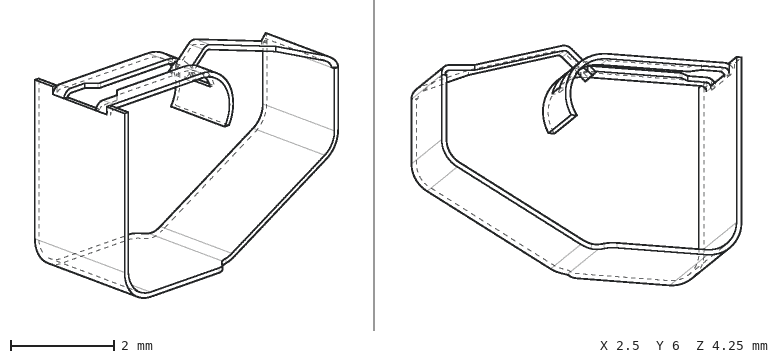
import cadquery as cq
import math

thickness = 0.1
overlap = 0.06
plate_width = 2.5
back_width = 2.0
clip_width = 1.5
slot_width = 0.5
arm_width = 0.41
tip_width = 0.485

depth = 6.0
front_height = 4.0
floor_bend_radius = 0.7
ramp_start = 3.03
ramp_angle = math.radians(28.6)
ramp_bend_radius = 0.7
ramp_corner_z = (depth - ramp_start) * math.tan(ramp_angle)
back_bend_radius = 0.6
plate_step_y = 2.53

arm_peak_y = 3.265
arm_peak_z = 4.25
arm_angle = math.radians(16.3)
tip_angle = math.radians(42)
arm_bend_radius = 0.25
peak_bend_radius = 0.2
tip_y = 2.64
tip_step_y = 2.81
taper_end_y = 5.09

fold_radius = 0.2
curl_radius = 0.85
curl_start_y = 2.56
curl_tail_angle = math.radians(40)
curl_end_z = 2.725
notch_depth = 0.16
slot_end_z = 3.39
window_width = 0.89
window_end_y = 0.57
window_round = 0.07


def toward(start, end, distance):
    """Point at a distance from start on the line to end."""
    ratio = distance / math.dist(start, end)
    return tuple(a + (b - a) * ratio for a, b in zip(start, end))


def bend_points(path, radii, offset):
    """Start, middle and end of each bend of a left-turning path, offset to its left."""
    bends = []
    for before, corner, after, radius in zip(path, path[1:], path[2:], radii):
        heading = math.atan2(corner[1] - before[1], corner[0] - before[0])
        turn = (math.atan2(after[1] - corner[1], after[0] - corner[0]) - heading) % math.tau
        start = toward(corner, before, radius * math.tan(turn / 2))
        centre = (
            start[0] - radius * math.sin(heading),
            start[1] + radius * math.cos(heading),
        )
        reach = radius - offset
        bends.append([
            (
                centre[0] + reach * math.sin(heading + turn * part),
                centre[1] - reach * math.cos(heading + turn * part),
            )
            for part in (0, 0.5, 1)
        ])
    return bends


def shifted_end(end, start, following):
    """Path end moved by one sheet thickness to the left of the travel direction."""
    length = math.dist(start, following)
    along_y = (following[0] - start[0]) / length
    along_z = (following[1] - start[1]) / length
    return (end[0] - thickness * along_z, end[1] + thickness * along_y)


def bent_strip(path, radii, width):
    """Sheet centred on X, following an outer YZ path with its thickness on the left."""
    outer_bends = bend_points(path, radii, 0)
    inner_bends = bend_points(path, radii, thickness)
    outline = cq.Workplane("YZ").moveTo(*path[0])
    for start, middle, end in outer_bends:
        outline = outline.lineTo(*start).threePointArc(middle, end)
    outline = outline.lineTo(*path[-1])
    outline = outline.lineTo(*shifted_end(path[-1], path[-2], path[-1]))
    for start, middle, end in reversed(inner_bends):
        outline = outline.lineTo(*end).threePointArc(middle, start)
    outline = outline.lineTo(*shifted_end(path[0], path[0], path[1]))
    return outline.close().extrude(width / 2, both=True)


def mirrored_prism(half_points):
    """Tall prism from the +X half of an outline, mirrored about X = 0."""
    other_half = [(-x, y) for x, y in reversed(half_points)]
    return cq.Workplane("XY").polyline(half_points + other_half).close().extrude(depth)


peak_centre_z = arm_peak_z - peak_bend_radius
peak_reach = peak_bend_radius / math.cos((arm_angle + tip_angle) / 2)
peak_lean = (arm_angle - tip_angle) / 2
peak_corner = (
    arm_peak_y + peak_reach * math.sin(peak_lean),
    peak_centre_z + peak_reach * math.cos(peak_lean),
)
arm_corner = (depth, peak_corner[1] - (depth - peak_corner[0]) * math.tan(arm_angle))
arm_start_z = arm_corner[1] - arm_bend_radius * math.tan((math.pi / 2 - arm_angle) / 2)


def make_frame():
    path = [(0, front_height), (0, 0), (ramp_start, 0), (depth, ramp_corner_z), (depth, arm_start_z)]
    frame = bent_strip(path, [floor_bend_radius, ramp_bend_radius, back_bend_radius], plate_width)

    step = (plate_width - back_width) / 2
    step_length = step * math.sqrt(3)
    wide_x = plate_width / 2
    narrow_x = back_width / 2
    step_end_y = plate_step_y + step_length
    arc_rise = step * (1 - math.cos(math.pi / 6))
    arc_run = step * math.sin(math.pi / 6)
    side_trim = (
        cq.Workplane("XY")
        .moveTo(wide_x, plate_step_y)
        .threePointArc(
            (wide_x - arc_rise, plate_step_y + arc_run),
            (wide_x - step / 2, plate_step_y + step_length / 2),
        )
        .threePointArc((narrow_x + arc_rise, step_end_y - arc_run), (narrow_x, step_end_y))
        .lineTo(narrow_x, depth)
        .lineTo(wide_x, depth)
        .close()
        .extrude(front_height)
    )
    frame = frame.cut(side_trim).cut(side_trim.mirror("YZ"))

    notch = cq.Workplane("XY").box(clip_width, 2 * thickness, 2 * notch_depth)
    return frame.cut(notch.translate((0, 0, front_height)))


def make_arm():
    tip = (tip_y, peak_corner[1] - (peak_corner[0] - tip_y) * math.tan(tip_angle))
    path = [(depth, arm_start_z - overlap), arm_corner, peak_corner, tip]
    arm = bent_strip(path, [arm_bend_radius, peak_bend_radius], back_width)
    outline = mirrored_prism([
        (tip_width / 2, 0),
        (tip_width / 2, tip_step_y),
        (arm_width / 2, tip_step_y),
        (arm_width / 2, taper_end_y),
        (back_width / 2, depth),
    ])
    return arm.intersect(outline)


def make_clip():
    curl_reach = curl_radius * math.tan((math.pi / 2 + curl_tail_angle) / 2)
    curl_corner = (curl_start_y + curl_reach, front_height)
    tail_length = curl_reach + overlap
    tail = (
        curl_corner[0] - tail_length * math.sin(curl_tail_angle),
        curl_corner[1] - tail_length * math.cos(curl_tail_angle),
    )
    path = [
        tail,
        curl_corner,
        (0, front_height),
        (0, front_height - fold_radius - overlap),
    ]
    clip = bent_strip(path, [curl_radius, fold_radius], clip_width)
    end_cut = cq.Workplane("XY").box(clip_width, 2 * depth, curl_end_z, centered=(True, True, False))
    clip = clip.cut(end_cut)

    shoulder = (window_width - slot_width) / 2
    slot = mirrored_prism([
        (window_width / 2, 0),
        (window_width / 2, window_end_y),
        (slot_width / 2, window_end_y + shoulder),
        (slot_width / 2, depth),
    ])
    shoulder_end = cq.selectors.BoxSelector(
        (-slot_width, window_end_y + shoulder / 2, -depth),
        (slot_width, window_end_y + 2 * shoulder, 2 * depth),
    )
    slot = slot.edges("|Z").edges(shoulder_end).fillet(window_round)
    return clip.cut(slot.translate((0, 0, slot_end_z)))


result = make_frame().union(make_arm()).union(make_clip())